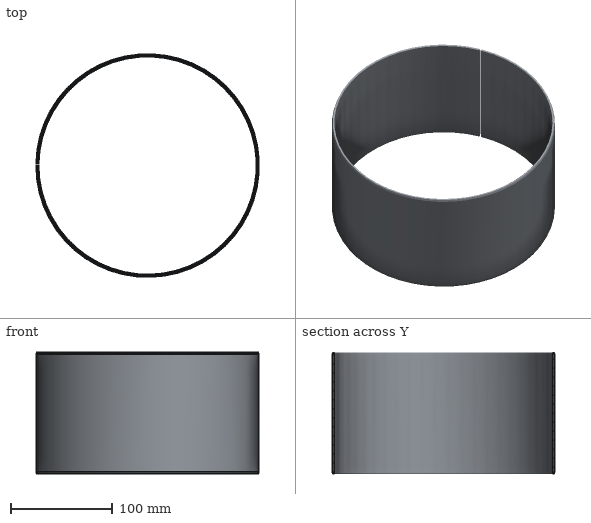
import cadquery as cq
import math

OUTER_DIAMETER = 220.0
HEIGHT = 120.0
WALL = 2.5
OUTER_CHAMFER_HEIGHT = 2.0
OUTER_CHAMFER_ANGLE = 20.0
BORE_CHAMFER = 0.3
SLIT_ANGLE = 1.0

OUTER_RADIUS = OUTER_DIAMETER / 2
BORE_RADIUS = OUTER_RADIUS - WALL
RIM_OUTER_RADIUS = OUTER_RADIUS - OUTER_CHAMFER_HEIGHT * math.tan(math.radians(OUTER_CHAMFER_ANGLE))
RIM_BORE_RADIUS = BORE_RADIUS + BORE_CHAMFER


def make_wall_section():
    """Wall profile on the -X side: steep outer chamfers and small bore chamfers at both rims."""
    section = [
        (-RIM_BORE_RADIUS, 0),
        (-RIM_OUTER_RADIUS, 0),
        (-OUTER_RADIUS, OUTER_CHAMFER_HEIGHT),
        (-OUTER_RADIUS, HEIGHT - OUTER_CHAMFER_HEIGHT),
        (-RIM_OUTER_RADIUS, HEIGHT),
        (-RIM_BORE_RADIUS, HEIGHT),
        (-BORE_RADIUS, HEIGHT - BORE_CHAMFER),
        (-BORE_RADIUS, BORE_CHAMFER),
    ]
    return cq.Workplane("XZ").polyline(section).close()


def make_split_sleeve():
    """Turn the wall about Z through -Y, stopping short of a full turn to leave the slit."""
    return make_wall_section().revolve(360 - SLIT_ANGLE, (0, 0), (0, 1))


result = make_split_sleeve()